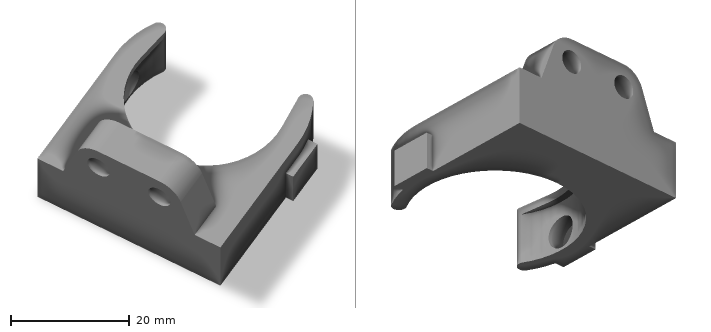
import cadquery as cq
import math

pad_span = 39.0
body_width = 36.1
body_height = 11.0
depth = 35.15

bore_radius = 14.05
ring_radius = body_width / 2
tip_radius = 1.33
bore_y = 25.5

recess_radius = 15.4
lip_height = 1.5

tab_height = 21.5
tab_thickness = 7.02
tab_half_base = 13.0
tab_hole_x = 6.0
tab_hole_z = 17.0
tab_hole_diameter = 4.35
tab_corner_radius = tab_height - tab_hole_z

pad_length = 8.0
pad_height = 7.02
pocket_diameter = 6.0
pocket_z = pad_height / 2
pocket_floor = 1.0


def polar(center, radius, angle):
    return (center[0] + radius * math.cos(angle), center[1] + radius * math.sin(angle))


def mirrored(point):
    return (-point[0], point[1])


def make_body():
    """Block whose rear opens into two arms with rounded tips."""
    bore_center = (0, bore_y)
    tip_reach = ring_radius - tip_radius
    tip_angle = math.asin((depth - tip_radius - bore_y) / tip_reach)
    tip_center = polar(bore_center, tip_reach, tip_angle)
    face_angle = tip_angle - math.acos((bore_radius + tip_radius) / tip_reach)

    side_end = (ring_radius, bore_y)
    outer_mid = polar(bore_center, ring_radius, tip_angle / 2)
    tip_start = polar(bore_center, ring_radius, tip_angle)
    tip_mid = polar(tip_center, tip_radius, (tip_angle + face_angle + math.pi) / 2)
    tip_end = polar(tip_center, tip_radius, face_angle + math.pi)
    bore_start = polar(bore_center, bore_radius, face_angle)
    bore_bottom = (0, bore_y - bore_radius)

    return (
        cq.Workplane("XY")
        .moveTo(-ring_radius, 0)
        .lineTo(ring_radius, 0)
        .lineTo(*side_end)
        .threePointArc(outer_mid, tip_start)
        .threePointArc(tip_mid, tip_end)
        .lineTo(*bore_start)
        .threePointArc(bore_bottom, mirrored(bore_start))
        .lineTo(*mirrored(tip_end))
        .threePointArc(mirrored(tip_mid), mirrored(tip_start))
        .threePointArc(mirrored(outer_mid), mirrored(side_end))
        .close()
        .extrude(body_height)
    )


def make_tab():
    """Upright tab with sloped sides, corners concentric with its two holes."""
    corner_center = (tab_hole_x, tab_hole_z)
    run = tab_half_base - tab_hole_x
    drop = body_height - tab_hole_z
    side_angle = math.atan2(drop, run) + math.acos(tab_corner_radius / math.hypot(run, drop))
    side_top = polar(corner_center, tab_corner_radius, side_angle)
    corner_mid = polar(corner_center, tab_corner_radius, (side_angle + math.pi / 2) / 2)
    corner_top = (tab_hole_x, tab_height)

    tab = (
        cq.Workplane("XZ")
        .moveTo(-tab_half_base, 0)
        .lineTo(tab_half_base, 0)
        .lineTo(tab_half_base, body_height)
        .lineTo(*side_top)
        .threePointArc(corner_mid, corner_top)
        .lineTo(*mirrored(corner_top))
        .threePointArc(mirrored(corner_mid), mirrored(side_top))
        .lineTo(-tab_half_base, body_height)
        .close()
        .extrude(-tab_thickness)
    )
    holes = (
        cq.Workplane("XZ")
        .pushPoints([(-tab_hole_x, tab_hole_z), (tab_hole_x, tab_hole_z)])
        .circle(tab_hole_diameter / 2)
        .extrude(-tab_thickness)
    )
    return tab.cut(holes)


def make_pads():
    """Flat pads on both sides; the bar joining them is trimmed by the bore."""
    bar = cq.Workplane("XY").box(pad_span, pad_length, pad_height, centered=(True, True, False))
    bore = cq.Workplane("XY").circle((bore_radius + ring_radius) / 2).extrude(pad_height)
    return bar.cut(bore).translate((0, bore_y, 0))


def make_recess():
    """Round recess that widens the bore from the underside up to the lip."""
    return (
        cq.Workplane("XY")
        .center(0, bore_y)
        .circle(recess_radius)
        .extrude(body_height - lip_height)
    )


def make_pockets():
    """Round blind pockets drilled outward from the recess into each arm."""
    length = pad_span - 2 * pocket_floor
    return (
        cq.Workplane("YZ", origin=(-length / 2, 0, 0))
        .center(bore_y, pocket_z)
        .circle(pocket_diameter / 2)
        .extrude(length)
    )


result = make_body().union(make_tab()).union(make_pads()).cut(make_recess()).cut(make_pockets())